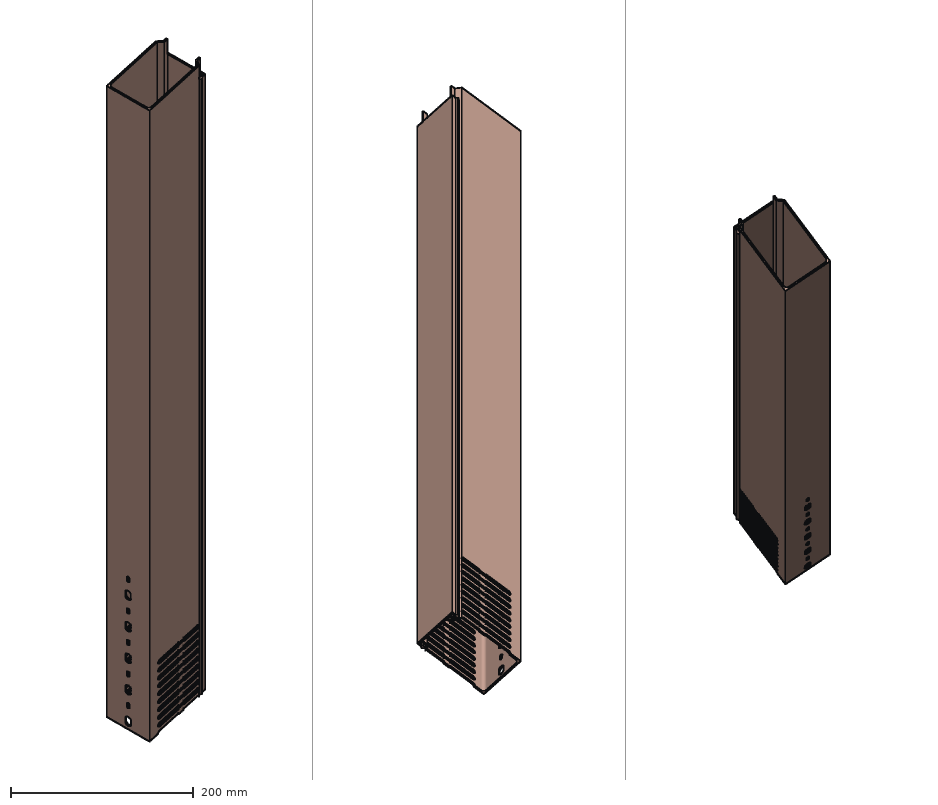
import cadquery as cq
import math

LENGTH = 1000.0
WIDTH = 60.0
DEPTH = 100.0
SHEET = 2.0
HALF_WIDTH = WIDTH / 2

WALL_TOP = 87.0
SHOULDER_INSET = 6.0
SHOULDER_RISE = 5.0
LIP_TOP = 97.0
ROOT_RADIUS = 4.0
SHOULDER_TOP = WALL_TOP + SHOULDER_RISE
LIP_X = HALF_WIDTH - SHOULDER_INSET

HOLE_PAIRS = 5
HOLE_PITCH = 50.0
FIRST_HOLE_Z = HOLE_PITCH / 4
LARGE_HOLE_LENGTH = 14.0
LARGE_HOLE_WIDTH = 8.0
SMALL_HOLE_LENGTH = 8.0
SMALL_HOLE_WIDTH = 4.0

SLOT_COUNT = 10
SLOT_PITCH = HOLE_PITCH / 4
SLOT_HEIGHT = 6.0
SLOT_BOTTOM_Y = 15.0
SLOT_TOP_Y = WALL_TOP
NUB_Y = 56.0
NUB_WIDTH = 9.0
NUB_GAP = 3.0

COVER_LENGTH = 975.0
FLANGE_INSET = 1.5
BULGE_TOP = 93.0
BULGE_BOTTOM = 92.0
PLATE_HALF_WIDTH = HALF_WIDTH - FLANGE_INSET
FLANGE_INNER_X = PLATE_HALF_WIDTH - SHEET
FLANGE_TIP_Y = WALL_TOP + (HALF_WIDTH - FLANGE_INNER_X) * SHOULDER_RISE / SHOULDER_INSET


def extruded_symmetric(right_half, length):
    """Extrude an outline from its +X half, listed from one end on the YZ plane to the other."""
    left_half = [(-x, y) for x, y in reversed(right_half)]
    return cq.Workplane("XY").polyline(right_half + left_half).close().extrude(length)


def channel_profile():
    """Outer line up to the lip, then the inner line back down to the web."""
    slope_length = math.hypot(SHOULDER_INSET, SHOULDER_RISE)
    bend_drop = SHEET * (slope_length - SHOULDER_RISE) / SHOULDER_INSET
    inner_x = HALF_WIDTH - SHEET
    return [
        (HALF_WIDTH, 0),
        (HALF_WIDTH, WALL_TOP),
        (LIP_X, SHOULDER_TOP),
        (LIP_X, LIP_TOP),
        (LIP_X - SHEET, LIP_TOP),
        (LIP_X - SHEET, SHOULDER_TOP - bend_drop),
        (inner_x, WALL_TOP - bend_drop),
        (inner_x, SHEET),
    ]


def finger_slot(center_z):
    """A round-ended slot through both walls, with two facing nubs left standing."""
    slot_length = SLOT_TOP_Y - SLOT_BOTTOM_Y
    slot_center_y = (SLOT_TOP_Y + SLOT_BOTTOM_Y) / 2
    slot = (
        cq.Workplane("YZ")
        .center(slot_center_y, center_z)
        .slot2D(slot_length, SLOT_HEIGHT)
        .extrude(HALF_WIDTH, both=True)
    )
    nub_height = (SLOT_HEIGHT - NUB_GAP) / 2
    nub_offset = (NUB_GAP + nub_height) / 2
    for nub_z in (center_z - nub_offset, center_z + nub_offset):
        nub = cq.Workplane("XY").box(WIDTH, NUB_WIDTH, nub_height)
        slot = slot.cut(nub.translate((0, NUB_Y, nub_z)))
    return slot


def web_hole(center_z, length, width):
    """A round-ended hole through the web, long along Z."""
    return (
        cq.Workplane("XZ")
        .center(0, center_z)
        .slot2D(length, width, 90)
        .extrude(-SHEET)
    )


def make_channel():
    body = extruded_symmetric(channel_profile(), LENGTH)
    inner_wall_x = HALF_WIDTH - SHEET
    for x in (-inner_wall_x, inner_wall_x):
        root_edge = cq.selectors.NearestToPointSelector((x, SHEET, LENGTH / 2))
        body = body.edges(root_edge).fillet(ROOT_RADIUS)
    for i in range(SLOT_COUNT):
        body = body.cut(finger_slot(i * SLOT_PITCH))
    for i in range(HOLE_PAIRS):
        large_z = FIRST_HOLE_Z + i * HOLE_PITCH
        small_z = large_z + HOLE_PITCH / 2
        body = body.cut(web_hole(large_z, LARGE_HOLE_LENGTH, LARGE_HOLE_WIDTH))
        body = body.cut(web_hole(small_z, SMALL_HOLE_LENGTH, SMALL_HOLE_WIDTH))
    return body


def make_cover():
    profile = [
        (FLANGE_INNER_X, DEPTH - SHEET),
        (FLANGE_INNER_X, FLANGE_TIP_Y),
        (PLATE_HALF_WIDTH, FLANGE_TIP_Y),
        (HALF_WIDTH, BULGE_BOTTOM),
        (HALF_WIDTH, BULGE_TOP),
        (PLATE_HALF_WIDTH, BULGE_TOP + FLANGE_INSET),
        (PLATE_HALF_WIDTH, DEPTH),
    ]
    return extruded_symmetric(profile, COVER_LENGTH)


channel = make_channel()
cover = make_cover()
result = cq.Compound.makeCompound([channel.val(), cover.val()])